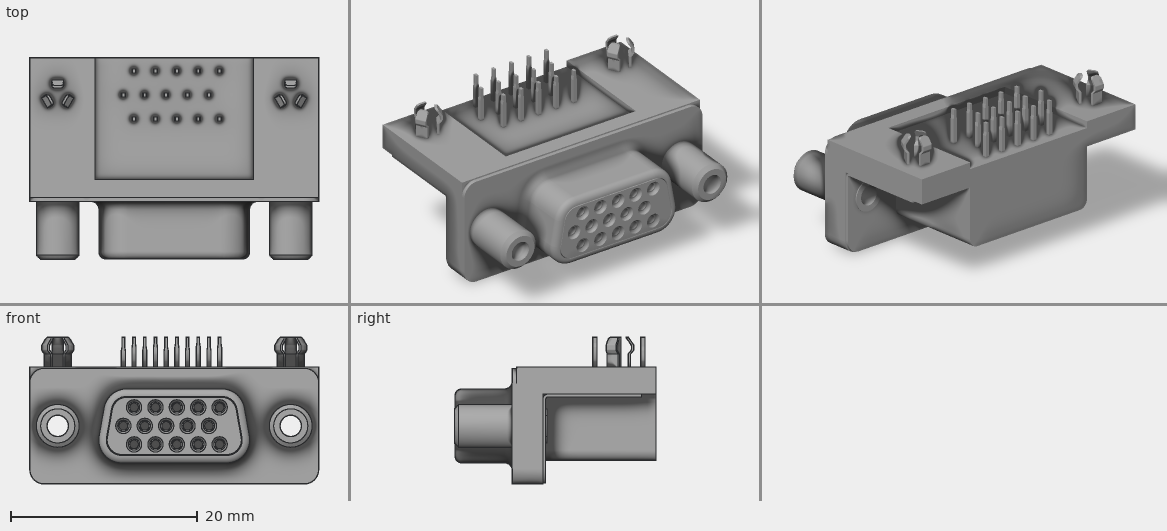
import cadquery as cq
import math


width = 31.0
half_height = 6.23
body_depth = 15.45
slab_rise = 0.1
slab_thick = 2.9
leg_back = 3.3
corner_radius = 1.55
top_z = half_height + slab_rise
slab_bottom_z = top_z - slab_thick

plate_thick = 0.45
plate_top_drop = 0.15

block_width = 16.95
block_bottom_z = -3.7
block_edge_radius = 1.02
recess_front_y = 2.4
recess_depth = 0.78
recess_floor_z = top_z - recess_depth

bracket_thick = 0.3
bracket_inset = 0.1
bracket_end_y = 13.85
bend_radius = 0.55

shell_length = 6.15
shell_radius = 2.45
shell_centre_x = 5.65
shell_centre_z = 1.52
shell_slant = math.radians(10)
shell_wall = 0.8
base_fillet = 0.8
tip_fillet = 0.75
gap_width = 0.1
gap_depth = 0.3

contact_pitch = 2.3
contacts_per_row = 5
outer_row_x = 0.28
middle_row_x = outer_row_x - contact_pitch / 2
row_spacing_z = 1.98
socket_bore = 0.93
socket_seat = 1.2
socket_mouth = 1.65
mouth_depth = 0.43
socket_depth = 1.85

pin_height = 3.2
pin_width = 0.45
pin_tip_width = 0.3
pin_taper = 0.43
back_pin_y = body_depth - 1.43
pin_row_spacing = 2.57
low_shoulder = 1.75
high_shoulder = 2.1

post_x = 12.5
post_diameter = 4.6
post_length = 6.2
post_chamfer = 0.45
post_bore = 2.25
nut_diameter = 3.63
nut_height = 0.12

clip_y = body_depth - 4.03
prong_count = 3
prong_width = 1.35
prong_neck_width = 1.2
prong_thick = 0.28
prong_radius = 1.02
prong_bulge = 0.35
prong_bend_z = 1.4
bulge_low_z = 1.8
bulge_high_z = 2.32
bulge_round = 0.2
prong_tip_radius = 0.78
prong_corner = 0.3
root = 0.3

pick_margin = 0.03


def box(x0, x1, y0, y1, z0, z1):
    """Box between two opposite corners."""
    return cq.Workplane("XY").box(x1 - x0, y1 - y0, z1 - z0, centered=False).translate((x0, y0, z0))


def rod(x, diameter, y0, y1):
    """Cylinder along Y at Z = 0."""
    return cq.Workplane("XZ", origin=(x, y0, 0)).circle(diameter / 2).extrude(y0 - y1)


def d_prism(radius, y0, y1):
    """D-shaped prism along Y; radius is its corner radius about fixed corner centres."""
    top_x = shell_centre_x - 2 * shell_centre_z * math.tan(shell_slant)
    side_x = radius * math.cos(shell_slant)
    side_z = radius * math.sin(shell_slant)
    top_mid = (math.radians(90) + shell_slant) / 2
    low_mid = (shell_slant - math.radians(90)) / 2

    def on_arc(centre_x, centre_z, angle):
        return centre_x + radius * math.cos(angle), centre_z + radius * math.sin(angle)

    def mirrored(point):
        return -point[0], point[1]

    top_start = (top_x, shell_centre_z + radius)
    top_arc = on_arc(top_x, shell_centre_z, top_mid)
    top_end = (top_x + side_x, shell_centre_z + side_z)
    low_start = (shell_centre_x + side_x, -shell_centre_z + side_z)
    low_arc = on_arc(shell_centre_x, -shell_centre_z, low_mid)
    low_end = (shell_centre_x, -shell_centre_z - radius)
    return (
        cq.Workplane("XZ", origin=(0, y0, 0))
        .moveTo(*top_start)
        .threePointArc(top_arc, top_end)
        .lineTo(*low_start)
        .threePointArc(low_arc, low_end)
        .lineTo(*mirrored(low_end))
        .threePointArc(mirrored(low_arc), mirrored(low_start))
        .lineTo(*mirrored(top_end))
        .threePointArc(mirrored(top_arc), mirrored(top_start))
        .close()
        .extrude(y0 - y1)
    )


def make_housing():
    """L-shaped housing with its central block, recessed on top."""
    half = width / 2
    leg = box(-half, half, plate_thick, leg_back, -half_height, top_z)
    leg = leg.edges("|Y and <Z").fillet(corner_radius)
    slab = box(-half, half, plate_thick, body_depth, slab_bottom_z, top_z)
    block = box(-block_width / 2, block_width / 2, leg_back, body_depth, block_bottom_z, top_z)
    block = block.edges("|Y and <Z").fillet(block_edge_radius)
    recess = box(-block_width / 2, block_width / 2, recess_front_y, body_depth, recess_floor_z, top_z)
    return leg.union(slab).union(block).cut(recess)


def make_brackets():
    """L-shaped sheet lining the back of the leg and the underside of the slab."""
    half = width / 2 - bracket_inset
    upright_back = leg_back + bracket_thick
    bottom_z = -half_height + bracket_inset
    upright = box(-half, half, leg_back, bracket_end_y, bottom_z, slab_bottom_z)
    upright = upright.edges("|Y and <Z").fillet(corner_radius)
    space = box(-half, half, upright_back, bracket_end_y, bottom_z, slab_bottom_z - bracket_thick)
    bracket = upright.cut(space)
    sheet_bottom_z = slab_bottom_z - bracket_thick
    inner_bend = cq.selectors.BoxSelector(
        (-half, upright_back - pick_margin, sheet_bottom_z - pick_margin),
        (half, upright_back + pick_margin, sheet_bottom_z + pick_margin),
    )
    bracket = bracket.edges(inner_bend).fillet(bend_radius - bracket_thick)
    return bracket.edges("|X and >Z and <Y").fillet(bend_radius)


def make_front_shell():
    """Flange plate with the D-shaped shell standing on it."""
    half = width / 2
    plate = box(-half, half, 0, plate_thick, -half_height, top_z - plate_top_drop)
    plate = plate.edges("|Y").fillet(corner_radius)
    shell = d_prism(shell_radius, -shell_length, 0).faces("<Y").edges().fillet(tip_fillet)
    front = plate.union(shell)
    foot = cq.selectors.BoxSelector(
        (-post_x, -pick_margin, -half_height + corner_radius / 2),
        (post_x, pick_margin, half_height - corner_radius / 2),
    )
    front = front.edges(foot).fillet(base_fillet)
    gap_outer = shell_radius - shell_wall
    gap_end_y = gap_depth - shell_length
    gap = d_prism(gap_outer, -shell_length, gap_end_y)
    gap = gap.cut(d_prism(gap_outer - gap_width, -shell_length, gap_end_y))
    return front.cut(gap)


def row_places(row_centre):
    """X places of one row of contacts."""
    first = row_centre - contact_pitch * (contacts_per_row - 1) / 2
    return [first + i * contact_pitch for i in range(contacts_per_row)]


def make_sockets():
    """Blind contact holes with conical mouths, as one cutting body."""
    places = []
    rows = ((row_spacing_z, outer_row_x), (0, middle_row_x), (-row_spacing_z, outer_row_x))
    for z, row_centre in rows:
        places += [(x, z) for x in row_places(row_centre)]
    front = cq.Workplane("XZ", origin=(0, -shell_length, 0)).pushPoints(places)
    holes = front.circle(socket_bore / 2).extrude(-socket_depth)
    cone = cq.Solid.makeCone(
        socket_mouth / 2, socket_seat / 2, mouth_depth, cq.Vector(0, 0, 0), cq.Vector(0, 1, 0)
    )
    for x, z in places:
        holes = holes.union(cq.Workplane(cone.translate(cq.Vector(x, -shell_length, z))))
    return holes


def make_pin(x, y, shoulder):
    """Flat pin narrowing in X above its shoulder."""
    wide = pin_width / 2
    tip = pin_tip_width / 2
    base_z = recess_floor_z - root
    low_z = top_z + shoulder
    high_z = low_z + pin_taper
    end_z = top_z + pin_height
    outline = [
        (x - wide, base_z), (x + wide, base_z), (x + wide, low_z), (x + tip, high_z),
        (x + tip, end_z), (x - tip, end_z), (x - tip, high_z), (x - wide, low_z),
    ]
    middle = cq.Workplane("XZ", origin=(0, y, 0))
    return middle.polyline(outline).close().extrude(pin_width / 2, both=True)


def make_post(x):
    """Chamfered jack post with its nut end behind the bracket."""
    post = rod(x, post_diameter, -post_length, plate_thick).faces("<Y").chamfer(post_chamfer)
    bracket_back = leg_back + bracket_thick
    return post.union(rod(x, nut_diameter, plate_thick, bracket_back + nut_height))


def make_prong():
    """Springy strip pointing along +Y from the clip axis."""
    inner = prong_radius
    outer = inner + prong_thick
    end_z = pin_height
    profile = [
        (inner, -root), (outer, -root), (outer, prong_bend_z),
        (outer + prong_bulge, bulge_low_z), (outer + prong_bulge, bulge_high_z),
        (prong_tip_radius + prong_thick, end_z), (prong_tip_radius, end_z),
        (inner + prong_bulge, bulge_high_z), (inner + prong_bulge, bulge_low_z),
        (inner, prong_bend_z),
    ]
    strip = cq.Workplane("YZ").polyline(profile).close().extrude(prong_width / 2, both=True)
    bulge = cq.selectors.BoxSelector(
        (-prong_width, inner, bulge_low_z - pick_margin),
        (prong_width, outer + 2 * prong_bulge, bulge_high_z + pick_margin),
    )
    strip = strip.edges("|X").edges(bulge).fillet(bulge_round)
    wide = prong_width / 2
    neck = prong_neck_width / 2
    outline = [
        (-wide, -root), (wide, -root), (wide, prong_bend_z), (neck, bulge_low_z), (neck, end_z),
        (-neck, end_z), (-neck, bulge_low_z), (-wide, prong_bend_z),
    ]
    blank = cq.Workplane("XZ").polyline(outline).close().extrude(-outer - prong_bulge)
    blank = blank.edges("|Y and >Z").fillet(prong_corner)
    return strip.intersect(blank)


result = make_housing().union(make_brackets()).union(make_front_shell())
result = result.cut(make_sockets())

pin_rows = (
    (back_pin_y, outer_row_x, low_shoulder),
    (back_pin_y - pin_row_spacing, middle_row_x, low_shoulder),
    (back_pin_y - 2 * pin_row_spacing, outer_row_x, high_shoulder),
)
for row_y, row_centre, shoulder in pin_rows:
    for pin_x in row_places(row_centre):
        result = result.union(make_pin(pin_x, row_y, shoulder))

for side in (-1, 1):
    side_x = side * post_x
    result = result.union(make_post(side_x))
    result = result.cut(rod(side_x, post_bore, -post_length, body_depth))
    for i in range(prong_count):
        prong = make_prong().rotate((0, 0, 0), (0, 0, 1), i * 360 / prong_count)
        result = result.union(prong.translate((side_x, clip_y, top_z)))